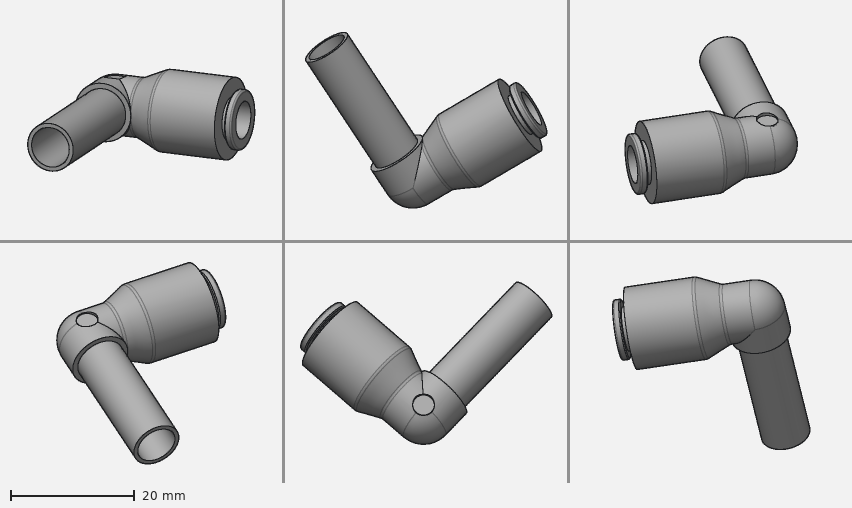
import cadquery as cq
import math

elbow_radius = 4.9
leg_length = 5.0

body_diameter = 13.5
body_radius = body_diameter / 2
flare_start = 4.7
flare_end = 8.82
flare_blend_radius = 1.2
body_end = 20.35

overall_length_y = 33.15
stem_end = overall_length_y - body_radius
stem_radius = 4.0
stem_bore_radius = 3.3

neck_radius = 3.6
collar_radius = 4.95
collar_start = 21.28
collar_end = 22.55
collar_chamfer = 0.2
collar_fillet = 0.3

arm_bore_radius = 3.08
recess_radius = 1.75
recess_floor = 4.35


def rod_along_x(radius, start, end):
    return cq.Workplane("YZ", origin=(start, 0, 0)).circle(radius).extrude(end - start)


def rod_along_minus_y(radius, length):
    return cq.Workplane("XZ").circle(radius).extrude(length)


def make_socket():
    """Revolve the arm, its flare and the cylindrical socket body."""
    flare_angle = math.atan2(body_radius - elbow_radius, flare_end - flare_start)
    tangent_length = flare_blend_radius * math.tan(flare_angle / 2)
    along = tangent_length * math.cos(flare_angle)
    rise = tangent_length * math.sin(flare_angle)
    outline = (
        cq.Workplane("XY")
        .lineTo(0, elbow_radius)
        .lineTo(flare_start - tangent_length, elbow_radius)
        .tangentArcPoint((flare_start + along, elbow_radius + rise), relative=False)
        .lineTo(flare_end - along, body_radius - rise)
        .tangentArcPoint((flare_end + tangent_length, body_radius), relative=False)
        .lineTo(body_end, body_radius)
        .lineTo(body_end, 0)
        .close()
    )
    return outline.revolve(360, (0, 0, 0), (1, 0, 0))


def make_collar():
    """Narrow neck carrying a collar, chamfered behind and rounded in front."""
    neck = rod_along_x(neck_radius, body_end, collar_end)
    collar = (
        rod_along_x(collar_radius, collar_start, collar_end)
        .faces("<X").edges().chamfer(collar_chamfer)
        .faces(">X").edges().fillet(collar_fillet)
    )
    return neck.union(collar)


def make_bores():
    """Arm bore with a round inner end, meeting the wider stem bore."""
    arm_bore = rod_along_x(arm_bore_radius, 0, collar_end)
    bore_end = cq.Workplane("XY").sphere(arm_bore_radius)
    stem_bore = rod_along_minus_y(stem_bore_radius, stem_end)
    return arm_bore.union(bore_end).union(stem_bore)


def make_recess():
    """Flat-floored round recess opening at the top of the elbow."""
    depth = elbow_radius - recess_floor
    return cq.Workplane("XY", origin=(0, 0, recess_floor)).circle(recess_radius).extrude(depth)


elbow_corner = cq.Workplane("XY").sphere(elbow_radius)
leg = rod_along_minus_y(elbow_radius, leg_length)
stem = rod_along_minus_y(stem_radius, stem_end)

result = (
    make_socket()
    .union(leg)
    .union(elbow_corner)
    .union(stem)
    .union(make_collar())
    .cut(make_bores())
    .cut(make_recess())
)